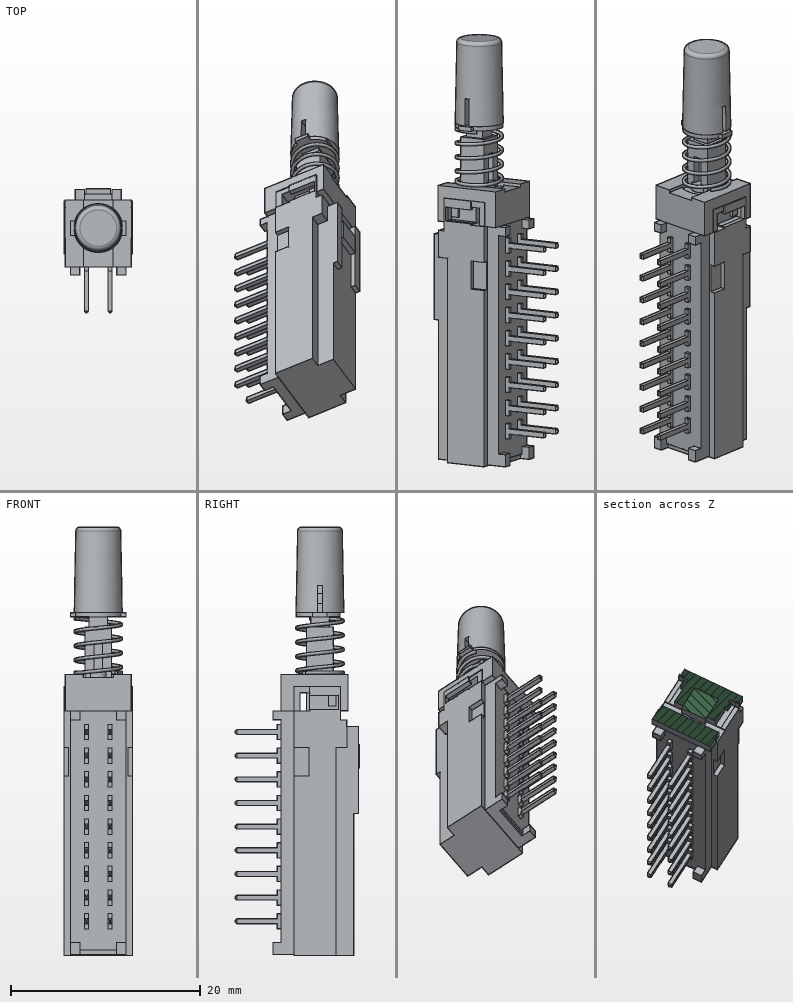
import cadquery as cq
import math


def block(x_range, y_range, z_range):
    """Box given by its low and high limits along each axis."""
    size = [high - low for low, high in (x_range, y_range, z_range)]
    low_corner = (x_range[0], y_range[0], z_range[0])
    return cq.Workplane("XY").box(*size, centered=False).translate(low_corner)


def centred_block(half_width, y_range, z_range):
    """Box that is symmetric about the YZ plane."""
    return block((-half_width, half_width), y_range, z_range)


def side_pair(x_range, y_range, z_range):
    """Box on the +X side together with its mirror image on the -X side."""
    one = block(x_range, y_range, z_range)
    return one.union(one.mirror("YZ"))


OVERALL_HEIGHT = 45.3

HOUSING_HALF_WIDTH = 3.645
SHEET = 0.5
HOUSING_FRONT = -2.75
HOUSING_SIDE_BACK = 1.7
HOUSING_SHOULDER_BACK = 2.85
HOUSING_NECK_BACK = 2.17
HOUSING_TOP = 25.85
SHOULDER_BOTTOM = 22.0
SHOULDER_TOP = 24.9
CORE_HALF_WIDTH = 2.45
CORE_BACK = 3.6
REAR_BLOCK_BACK = 4.08
REAR_BLOCK_BOTTOM = 15.0
REAR_BLOCK_TOP = 24.25
REAR_CHANNEL_HALF_WIDTH = 1.45
CHANNEL_STEP_Z = 23.25
REAR_PAD_HALF_WIDTH = 1.3
REAR_PAD_BACK = 4.15
REAR_PAD_BOTTOM = 19.85
REAR_PAD_TOP = 22.35
NOTCH_BACK = -1.2
NOTCH_BOTTOM = 18.98
STRAP_FRONT = -1.1
STRAP_TOP = 28.45
STRAP_WINDOW_BACK = 1.95
STRAP_WINDOW_BOTTOM = 26.0
STRAP_WINDOW_TOP = 27.5

BASE_HALF_WIDTH = 2.95
BASE_FRONT = -4.1
BASE_BOTTOM = 0.1
FOOT_WIDTH = 1.0
FOOT_FRONT = -5.0
FOOT_HEIGHT = 0.95
LOWER_FOOT_TOP = 1.4
BASE_RELIEF_TOP = 0.6
BASE_RELIEF_DEPTH = 0.2
PIN_ROWS = 9
PIN_PITCH = 2.5
LOWEST_PIN_Z = 3.62
PIN_WIDTH = 0.45
PIN_HEIGHT = 0.55
PIN_TIP = -8.95
PIN_TIP_CHAMFER = 0.2
COLLAR_HEIGHT = 1.65
COLLAR_FRONT = -4.55

CAP_HALF_WIDTH = 3.51
CAP_FRONT = BASE_FRONT
CAP_BACK = 3.0
CAP_TOP = 29.7
CAP_CHANNEL_HALF_WIDTH = 1.6
CAP_CHANNEL_DEPTH = 0.3
SIDE_PANEL_HALF_WIDTH = 3.45
POCKET_HALF_WIDTH = 2.5
SEAT_DEPTH = 0.15
CROSS_SLOT_FRONT = -2.1
CROSS_SLOT_TOP = 27.75
NIB_FRONT = 0.9
NIB_BACK = 1.7
NIB_BOTTOM = 26.35
NIB_TOP = 27.5
NIB_PROUD = 0.35

SHAFT_SIDE = 2.85
SHAFT_TOP = 34.75
NECK_SIDE = 2.0
NECK_TOP = 38.25
KEYWAY_WIDTH = 0.95
KEYWAY_DEPTH = 0.75
KEYWAY_BOTTOM = 30.03
KEYWAY_TOP = 33.0
BOSS_RADIUS = 1.0
BOSS_CENTRE_Y = -0.85
BARB_BOTTOM = 37.2
BARB_REACH = 0.25

CLIP_BOTTOM = 35.8
CLIP_THICKNESS = 0.45
CLIP_RADIUS = 2.55
CLIP_FLAT_BACK = 2.15
CLIP_TAB_HALF_SPAN = 2.95
CLIP_TAB_WIDTH = 1.55

KNOB_BOTTOM_RADIUS = 2.56
KNOB_TOP_RADIUS = 2.378
KNOB_FILLET = 0.45
KNOB_SLOT_WIDTH = 0.5
KNOB_SLOT_TOP = 39.15
KNOB_SLOT_INNER = 0.9

WIRE_DIAMETER = 0.35
COIL_RADIUS = 2.4
COIL_PITCH = 1.51
COIL_START_ANGLE = 203.0
END_COIL_SWEEP = 240.0
TOP_COIL_SWEEP = 40.0
EASE_SWEEP = 40.0
COIL_STEP = 15.0

KNOB_BOTTOM = CLIP_BOTTOM + CLIP_THICKNESS
RECESS_HALF_WIDTH = HOUSING_HALF_WIDTH - SHEET
CHANNEL_FLOOR = CAP_TOP - CAP_CHANNEL_DEPTH
SEAT_FLOOR = CHANNEL_FLOOR - SEAT_DEPTH
SPRING_OUTER_RADIUS = COIL_RADIUS + WIRE_DIAMETER / 2
HALF_SHAFT = SHAFT_SIDE / 2
HALF_NECK = NECK_SIDE / 2
STRAP_X = (RECESS_HALF_WIDTH, HOUSING_HALF_WIDTH)


def make_housing():
    body = centred_block(HOUSING_HALF_WIDTH, (HOUSING_FRONT, HOUSING_SIDE_BACK), (0, HOUSING_TOP))
    body = body.union(centred_block(
        HOUSING_HALF_WIDTH, (HOUSING_FRONT, HOUSING_SHOULDER_BACK), (SHOULDER_BOTTOM, SHOULDER_TOP)))
    body = body.union(centred_block(
        HOUSING_HALF_WIDTH, (HOUSING_FRONT, HOUSING_NECK_BACK), (SHOULDER_TOP, HOUSING_TOP)))

    body = body.union(centred_block(
        CORE_HALF_WIDTH, (HOUSING_FRONT, CORE_BACK), (0, REAR_BLOCK_TOP)))
    body = body.union(centred_block(
        CORE_HALF_WIDTH, (HOUSING_FRONT, REAR_BLOCK_BACK), (REAR_BLOCK_BOTTOM, REAR_BLOCK_TOP)))
    body = body.cut(centred_block(
        REAR_CHANNEL_HALF_WIDTH, (CORE_BACK, REAR_BLOCK_BACK), (REAR_BLOCK_BOTTOM, REAR_BLOCK_TOP)))
    body = body.cut(centred_block(
        REAR_CHANNEL_HALF_WIDTH, (HOUSING_SHOULDER_BACK, CORE_BACK), (CHANNEL_STEP_Z, REAR_BLOCK_TOP)))
    body = body.union(centred_block(
        REAR_PAD_HALF_WIDTH, (HOUSING_FRONT, REAR_PAD_BACK), (REAR_PAD_BOTTOM, REAR_PAD_TOP)))

    body = body.cut(side_pair(STRAP_X, (HOUSING_FRONT, NOTCH_BACK), (NOTCH_BOTTOM, SHOULDER_BOTTOM)))

    straps = side_pair(STRAP_X, (STRAP_FRONT, HOUSING_NECK_BACK), (HOUSING_TOP, STRAP_TOP))
    windows = side_pair(
        STRAP_X, (STRAP_FRONT, STRAP_WINDOW_BACK), (STRAP_WINDOW_BOTTOM, STRAP_WINDOW_TOP))
    return body.union(straps.cut(windows))


def make_pin(x, z):
    """Flat terminal with its collar, pointing towards -Y."""
    half = PIN_WIDTH / 2
    blade = block(
        (x - half, x + half), (PIN_TIP, BASE_FRONT), (z - PIN_HEIGHT / 2, z + PIN_HEIGHT / 2))
    blade = blade.faces("<Y").chamfer(PIN_TIP_CHAMFER)
    collar = block(
        (x - half, x + half), (COLLAR_FRONT, BASE_FRONT),
        (z - COLLAR_HEIGHT / 2, z + COLLAR_HEIGHT / 2))
    return blade.union(collar)


def make_base():
    body = centred_block(BASE_HALF_WIDTH, (BASE_FRONT, HOUSING_FRONT), (BASE_BOTTOM, HOUSING_TOP))

    foot_inner = BASE_HALF_WIDTH - FOOT_WIDTH
    for foot_z in ((BASE_BOTTOM, LOWER_FOOT_TOP), (HOUSING_TOP - FOOT_HEIGHT, HOUSING_TOP)):
        body = body.union(side_pair(
            (foot_inner, BASE_HALF_WIDTH), (FOOT_FRONT, HOUSING_FRONT), foot_z))
    body = body.cut(centred_block(
        foot_inner, (BASE_FRONT, BASE_FRONT + BASE_RELIEF_DEPTH), (BASE_BOTTOM, BASE_RELIEF_TOP)))

    for row in range(PIN_ROWS):
        for side in (-1, 1):
            body = body.union(make_pin(side * PIN_PITCH / 2, LOWEST_PIN_Z + row * PIN_PITCH))
    return body


def make_cap():
    body = centred_block(CAP_HALF_WIDTH, (CAP_FRONT, CAP_BACK), (HOUSING_TOP, CAP_TOP))

    body = body.cut(centred_block(
        CAP_CHANNEL_HALF_WIDTH, (CAP_FRONT, CAP_BACK), (CHANNEL_FLOOR, CAP_TOP)))
    seat = cq.Workplane("XY", origin=(0, 0, SEAT_FLOOR)).circle(SPRING_OUTER_RADIUS).extrude(SEAT_DEPTH)
    channel_width = centred_block(CAP_CHANNEL_HALF_WIDTH, (CAP_FRONT, CAP_BACK), (SEAT_FLOOR, CHANNEL_FLOOR))
    body = body.cut(seat.intersect(channel_width))

    body = body.cut(side_pair(
        (SIDE_PANEL_HALF_WIDTH, CAP_HALF_WIDTH), (HOUSING_FRONT, STRAP_FRONT), (HOUSING_TOP, STRAP_TOP)))
    body = body.cut(side_pair(
        (RECESS_HALF_WIDTH, CAP_HALF_WIDTH), (STRAP_FRONT, HOUSING_NECK_BACK), (HOUSING_TOP, STRAP_TOP)))

    body = body.cut(side_pair(
        (POCKET_HALF_WIDTH, RECESS_HALF_WIDTH), (STRAP_FRONT, STRAP_WINDOW_BACK),
        (STRAP_WINDOW_BOTTOM, CROSS_SLOT_TOP)))
    body = body.union(side_pair(
        (POCKET_HALF_WIDTH, POCKET_HALF_WIDTH + NIB_PROUD), (NIB_FRONT, NIB_BACK),
        (NIB_BOTTOM, NIB_TOP)))

    body = body.cut(centred_block(
        CAP_HALF_WIDTH, (CROSS_SLOT_FRONT, STRAP_FRONT), (HOUSING_TOP, CROSS_SLOT_TOP)))
    return body.cut(centred_block(
        HALF_SHAFT, (-HALF_SHAFT, HALF_SHAFT), (HOUSING_TOP, CAP_TOP)))


def make_plunger():
    shaft = centred_block(HALF_SHAFT, (-HALF_SHAFT, HALF_SHAFT), (HOUSING_TOP, SHAFT_TOP))
    neck = centred_block(HALF_NECK, (-HALF_NECK, HALF_NECK), (SHAFT_TOP, NECK_TOP))
    keyway = centred_block(
        KEYWAY_WIDTH / 2, (-HALF_SHAFT, -HALF_SHAFT + KEYWAY_DEPTH), (KEYWAY_BOTTOM, KEYWAY_TOP))
    barbs = centred_block(
        HALF_NECK + BARB_REACH, (-KNOB_SLOT_WIDTH / 2, KNOB_SLOT_WIDTH / 2), (BARB_BOTTOM, NECK_TOP))
    boss = cq.Workplane("XY", origin=(0, BOSS_CENTRE_Y, SEAT_FLOOR)).circle(BOSS_RADIUS)
    boss = boss.extrude(KEYWAY_BOTTOM - SEAT_FLOOR)
    shaft = shaft.cut(keyway).union(boss)
    return shaft.union(neck).union(barbs)


def make_clip():
    disc = cq.Workplane("XY", origin=(0, 0, CLIP_BOTTOM)).circle(CLIP_RADIUS).extrude(CLIP_THICKNESS)
    clip_z = (CLIP_BOTTOM, KNOB_BOTTOM)
    flat = centred_block(CLIP_RADIUS, (CLIP_FLAT_BACK, CLIP_RADIUS), clip_z)
    tabs = centred_block(CLIP_TAB_HALF_SPAN, (-CLIP_TAB_WIDTH / 2, CLIP_TAB_WIDTH / 2), clip_z)
    neck_hole = centred_block(HALF_NECK, (-HALF_NECK, HALF_NECK), clip_z)
    return disc.cut(flat).union(tabs).cut(neck_hole)


def make_knob():
    body = (
        cq.Workplane("XZ")
        .moveTo(0, KNOB_BOTTOM)
        .lineTo(KNOB_BOTTOM_RADIUS, KNOB_BOTTOM)
        .lineTo(KNOB_TOP_RADIUS, OVERALL_HEIGHT)
        .lineTo(0, OVERALL_HEIGHT)
        .close()
        .revolve(360, (0, 0, 0), (0, 1, 0))
        .faces(">Z").edges().fillet(KNOB_FILLET)
    )
    socket = centred_block(HALF_NECK, (-HALF_NECK, HALF_NECK), (KNOB_BOTTOM, NECK_TOP))
    slots = side_pair(
        (KNOB_SLOT_INNER, KNOB_BOTTOM_RADIUS), (-KNOB_SLOT_WIDTH / 2, KNOB_SLOT_WIDTH / 2),
        (KNOB_BOTTOM, KNOB_SLOT_TOP))
    return body.cut(socket).cut(slots)


def eased(angle):
    """Angle that starts from zero with a smooth build-up over the ease sweep."""
    if angle <= 0:
        return 0
    if angle < EASE_SWEEP:
        return angle ** 2 / (2 * EASE_SWEEP)
    return angle - EASE_SWEEP / 2


def make_spring():
    wire_radius = WIRE_DIAMETER / 2
    low_z = CAP_TOP + wire_radius
    climb_sweep = 360 * (CLIP_BOTTOM - wire_radius - low_z) / COIL_PITCH

    def centre_line(angle):
        """Point on the wire centre line; the angle in degrees counts from where the climb begins."""
        direction = math.radians(COIL_START_ANGLE + angle)
        turned = eased(angle) - eased(angle - climb_sweep)
        return cq.Vector(
            COIL_RADIUS * math.cos(direction), COIL_RADIUS * math.sin(direction),
            low_z + COIL_PITCH * turned / 360)

    last_angle = climb_sweep + EASE_SWEEP + TOP_COIL_SWEEP
    steps = math.ceil((last_angle + END_COIL_SWEEP) / COIL_STEP)
    step = (last_angle + END_COIL_SWEEP) / steps
    points = [centre_line(-END_COIL_SWEEP + i * step) for i in range(steps + 1)]
    path = cq.Workplane(cq.Edge.makeSpline(points))

    tangent = math.radians(COIL_START_ANGLE - END_COIL_SWEEP + 90)
    section = cq.Plane(
        origin=points[0], xDir=(0, 0, 1), normal=(math.cos(tangent), math.sin(tangent), 0))
    return cq.Workplane(section).circle(wire_radius).sweep(path, isFrenet=False)


housing = make_housing()
base = make_base()
cap = make_cap()
plunger = make_plunger()
clip = make_clip()
knob = make_knob()
spring = make_spring()

result = cq.Compound.makeCompound([
    housing.val(),
    base.val(),
    cap.val(),
    plunger.val(),
    clip.val(),
    knob.val(),
    spring.val(),
])